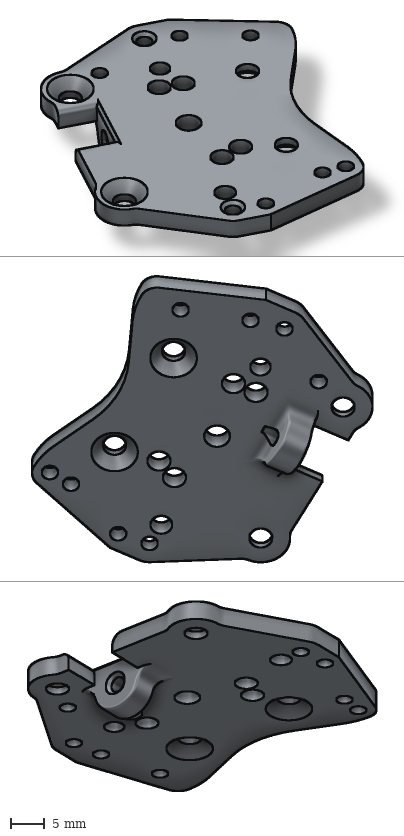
import cadquery as cq
import math


THICKNESS = 3.0
HALF_WIDTH = 25.065
FRONT_Y = -17.6
SIDE_TOP_Y = 4.83
SIDE_HOLE_X = 21.7
SIDE_SLOPE = 30.0
BOSS_X = 13.25
BOSS_Y = -14.17
BOSS_RADIUS = 4.36
BOSS_BLEND = 2.25

CREST_X = 17.3
CREST_Y = 21.58
CORNER_RADIUS = 2.6
DIP_Y = 16.55
DIP_RADIUS = 15.0
REAR_SLOPE = 23.0

PLAIN_HOLES = {
    2.4: [(-17.66, 15.23), (17.6, 15.23), (17.19, 18.97), (-20.75, 5.18), (22.3, 4.93), (-15.63, -8.86)],
    3.0: [(-13.98, 0)],
    3.2: [(17.92, 0)],
    3.4: [(-9.5, 2.18), (9.5, 2.18), (7.92, 5.58), (-9.64, -1.5)],
    3.8: [(0, 0)],
}

SMALL_HOLE = 2.4
SMALL_SINK = 3.6
BOSS_HOLE = 3.4
BOSS_SINK = 6.9
REAR_HOLE_X = 9.5
REAR_HOLE_Y = 12.17
SINK_ANGLE = 90.0

NOTCH_LEFT = -8.3
NOTCH_RIGHT = 0.0
NOTCH_BACK = -11.61
NOTCH_LEFT_ROUND = 1.18
NOTCH_RIGHT_ROUND = 1.93
NOTCH_BACK_CHAMFER = 0.5

LUG_X = -4.3
LUG_AXIS_Z = -1.04
LUG_RADIUS = 4.25
LUG_DEPTH = 4.1
LUG_FLARE = 3.0
LUG_REAR_FILLET = 2.0
LUG_EDGE_ROUND = 0.5
LUG_OVERLAP = 1.0
LUG_SEAT = 0.01


def polar(center, radius, degrees):
    """Point on a circle at the given angle."""
    angle = math.radians(degrees)
    return (center[0] + radius * math.cos(angle), center[1] + radius * math.sin(angle))


def plate_half():
    """Left half of the plate, with its boss blended in."""
    slope = math.radians(REAR_SLOPE)
    dip_center = (0, DIP_Y + DIP_RADIUS)
    apex_gain = 1 / math.cos(slope) - 1
    line_y_at_center = DIP_Y - DIP_RADIUS * apex_gain
    line_y_at_crest = line_y_at_center + CREST_X * math.tan(slope)
    crest_radius = (line_y_at_crest - CREST_Y) / apex_gain
    crest_center = (-CREST_X, CREST_Y - crest_radius)

    corner_center = (-CREST_X, CREST_Y - CORNER_RADIUS)
    side_top = (-HALF_WIDTH, SIDE_TOP_Y)
    run = side_top[0] - corner_center[0]
    rise = side_top[1] - corner_center[1]
    toward_side = math.degrees(math.atan2(rise, run))
    half_angle = math.degrees(math.acos(CORNER_RADIUS / math.hypot(run, rise)))
    corner_angle = (toward_side - half_angle) % 360

    side_center = (-SIDE_HOLE_X, 0)
    side_radius = HALF_WIDTH - SIDE_HOLE_X
    side_end = polar(side_center, side_radius, 180 + SIDE_SLOPE)
    front_x = side_end[0] + (side_end[1] - FRONT_Y) * math.tan(math.radians(SIDE_SLOPE))

    half = (
        cq.Workplane("XY")
        .moveTo(0, FRONT_Y)
        .lineTo(0, DIP_Y)
        .threePointArc(
            polar(dip_center, DIP_RADIUS, 270 - REAR_SLOPE / 2),
            polar(dip_center, DIP_RADIUS, 270 - REAR_SLOPE),
        )
        .lineTo(*polar(crest_center, crest_radius, 90 - REAR_SLOPE))
        .threePointArc(
            polar(crest_center, crest_radius, 90 - REAR_SLOPE / 2),
            (-CREST_X, CREST_Y),
        )
        .threePointArc(
            polar(corner_center, CORNER_RADIUS, (90 + corner_angle) / 2),
            polar(corner_center, CORNER_RADIUS, corner_angle),
        )
        .lineTo(*side_top)
        .lineTo(-HALF_WIDTH, 0)
        .threePointArc(polar(side_center, side_radius, 180 + SIDE_SLOPE / 2), side_end)
        .lineTo(front_x, FRONT_Y)
        .close()
        .extrude(THICKNESS)
    )
    boss = cq.Workplane("XY").center(-BOSS_X, BOSS_Y).circle(BOSS_RADIUS).extrude(THICKNESS)
    reach = BOSS_RADIUS + BOSS_BLEND
    boss_surroundings = cq.selectors.BoxSelector(
        (-BOSS_X - reach, BOSS_Y - reach, 0), (-BOSS_X + reach, BOSS_Y + reach, THICKNESS)
    )
    return half.union(boss).edges("|Z").edges(boss_surroundings).fillet(BOSS_BLEND)


def make_plate():
    half = plate_half()
    return half.union(half.mirror("YZ"))


def make_lug():
    """Rounded lug flared into the plate at both sides and behind."""
    axis = (LUG_X, LUG_AXIS_Z)
    flare_drop = LUG_FLARE + LUG_AXIS_Z
    flare_reach = math.sqrt((LUG_RADIUS + LUG_FLARE) ** 2 - flare_drop**2)
    flare_angle = math.degrees(math.asin(flare_drop / (LUG_RADIUS + LUG_FLARE)))
    left_flare = (LUG_X - flare_reach, -LUG_FLARE)
    right_flare = (LUG_X + flare_reach, -LUG_FLARE)
    flare_middle = (90 - flare_angle) / 2 + flare_angle
    rear_y = NOTCH_BACK + LUG_DEPTH
    rear_end = rear_y + LUG_REAR_FILLET

    front_shape = (
        cq.Workplane("XZ", origin=(0, NOTCH_BACK, 0))
        .moveTo(left_flare[0], LUG_OVERLAP)
        .lineTo(left_flare[0], 0)
        .threePointArc(
            polar(left_flare, LUG_FLARE, flare_middle),
            polar(left_flare, LUG_FLARE, flare_angle),
        )
        .threePointArc(
            (LUG_X, LUG_AXIS_Z - LUG_RADIUS),
            polar(axis, LUG_RADIUS, -flare_angle),
        )
        .threePointArc(
            polar(right_flare, LUG_FLARE, 180 - flare_middle),
            (right_flare[0], 0),
        )
        .lineTo(right_flare[0], LUG_OVERLAP)
        .close()
    )
    body = front_shape.extrude(NOTCH_BACK - rear_end)

    lowest_z = LUG_AXIS_Z - LUG_RADIUS
    side_shape = (
        cq.Workplane("YZ", origin=(left_flare[0], 0, 0))
        .moveTo(NOTCH_BACK, LUG_OVERLAP)
        .lineTo(NOTCH_BACK, lowest_z)
        .lineTo(rear_y, lowest_z)
        .lineTo(rear_y, -LUG_REAR_FILLET)
        .threePointArc(
            polar((rear_end, -LUG_REAR_FILLET), LUG_REAR_FILLET, 135),
            (rear_end, 0),
        )
        .lineTo(rear_end, LUG_OVERLAP)
        .close()
        .extrude(2 * flare_reach)
    )
    lug = body.intersect(side_shape)
    lug = lug.faces("<Y").edges("%CIRCLE").fillet(LUG_EDGE_ROUND)
    lowest_rear_edge = cq.selectors.NearestToPointSelector((LUG_X, rear_y, lowest_z))
    return lug.edges("%CIRCLE").edges(lowest_rear_edge).fillet(LUG_EDGE_ROUND)


def notch_cutter():
    """Notch opening with rounded side rims and a chamfered back rim."""
    left_center = (NOTCH_LEFT - NOTCH_LEFT_ROUND, THICKNESS - NOTCH_LEFT_ROUND)
    right_center = (NOTCH_RIGHT + NOTCH_RIGHT_ROUND, THICKNESS - NOTCH_RIGHT_ROUND)
    length = NOTCH_BACK - FRONT_Y
    opening = (
        cq.Workplane("XZ", origin=(0, NOTCH_BACK + NOTCH_BACK_CHAMFER, 0))
        .moveTo(NOTCH_LEFT, 0)
        .lineTo(NOTCH_LEFT, left_center[1])
        .threePointArc(
            polar(left_center, NOTCH_LEFT_ROUND, 45),
            (left_center[0], THICKNESS),
        )
        .lineTo(right_center[0], THICKNESS)
        .threePointArc(
            polar(right_center, NOTCH_RIGHT_ROUND, 135),
            (NOTCH_RIGHT, right_center[1]),
        )
        .lineTo(NOTCH_RIGHT, 0)
        .close()
        .extrude(length + NOTCH_BACK_CHAMFER)
    )
    back_limit = (
        cq.Workplane("YZ", origin=(left_center[0], 0, 0))
        .moveTo(FRONT_Y, 0)
        .lineTo(NOTCH_BACK, 0)
        .lineTo(NOTCH_BACK, THICKNESS - NOTCH_BACK_CHAMFER)
        .lineTo(NOTCH_BACK + NOTCH_BACK_CHAMFER, THICKNESS)
        .lineTo(FRONT_Y, THICKNESS)
        .close()
        .extrude(right_center[0] - left_center[0])
    )
    return opening.intersect(back_limit)


def drill_plain_holes(plate):
    for diameter, centers in PLAIN_HOLES.items():
        drills = cq.Workplane("XY").pushPoints(centers).circle(diameter / 2).extrude(THICKNESS)
        plate = plate.cut(drills)
    return plate


def sink_drill(diameter, sink_diameter, depth):
    """Drill along -Z from the origin with a conical countersink at its top."""
    sink_depth = (sink_diameter - diameter) / 2 / math.tan(math.radians(SINK_ANGLE / 2))
    return (
        cq.Workplane("XZ")
        .lineTo(sink_diameter / 2, 0)
        .lineTo(diameter / 2, -sink_depth)
        .lineTo(diameter / 2, -depth)
        .lineTo(0, -depth)
        .close()
        .revolve(360, (0, 0, 0), (0, 1, 0))
    )


def drill_sunk_holes(plate):
    """Side and boss holes sunk from the top, rear holes from the underside."""
    small_drill = sink_drill(SMALL_HOLE, SMALL_SINK, THICKNESS)
    boss_drill = sink_drill(BOSS_HOLE, BOSS_SINK, THICKNESS)
    rear_drill = boss_drill.rotate((0, 0, 0), (1, 0, 0), 180)
    for side in (-1, 1):
        plate = plate.cut(small_drill.translate((side * SIDE_HOLE_X, 0, THICKNESS)))
        plate = plate.cut(boss_drill.translate((side * BOSS_X, BOSS_Y, THICKNESS)))
        plate = plate.cut(rear_drill.translate((side * REAR_HOLE_X, REAR_HOLE_Y, 0)))
    return plate


def lug_drill():
    """Drill through the lug and its rear fillet, countersunk at the front face."""
    drill = sink_drill(SMALL_HOLE, SMALL_SINK, LUG_DEPTH + LUG_REAR_FILLET)
    return drill.rotate((0, 0, 0), (1, 0, 0), 90).translate((LUG_X, NOTCH_BACK, LUG_AXIS_Z))


body = make_plate().union(make_lug().translate((0, 0, LUG_SEAT)))
body = body.cut(notch_cutter()).cut(lug_drill())
body = drill_plain_holes(body)
result = drill_sunk_holes(body)